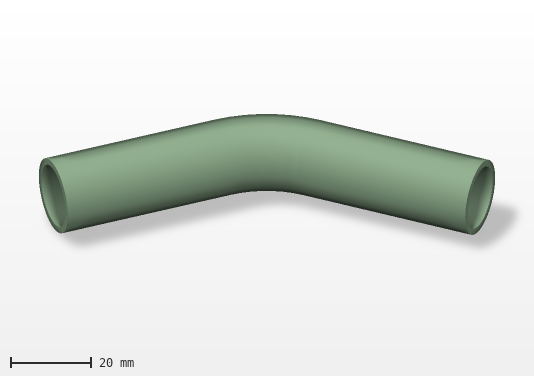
import cadquery as cq
import math

outer_diameter = 19.05
inner_diameter = 15.75
bend_angle = 45.0
bend_radius = 1.5 * outer_diameter
corner_to_end = 3.0 * outer_diameter

half_bend = math.radians(bend_angle / 2)
leg_length = corner_to_end - bend_radius * math.tan(half_bend)


def bend_point(angle):
    """Centreline point of the elbow after turning by angle (radians)."""
    return (
        bend_radius * (1 - math.cos(angle)),
        leg_length + bend_radius * math.sin(angle),
    )


def centreline():
    """Path along +Y from the origin, then turning towards +X."""
    full_bend = 2 * half_bend
    elbow_end = bend_point(full_bend)
    far_end = (
        elbow_end[0] + leg_length * math.sin(full_bend),
        elbow_end[1] + leg_length * math.cos(full_bend),
    )
    return (
        cq.Workplane("XY")
        .lineTo(0, leg_length)
        .threePointArc(bend_point(half_bend), elbow_end)
        .lineTo(*far_end)
    )


result = (
    cq.Workplane("XZ")
    .circle(outer_diameter / 2)
    .circle(inner_diameter / 2)
    .sweep(centreline())
)